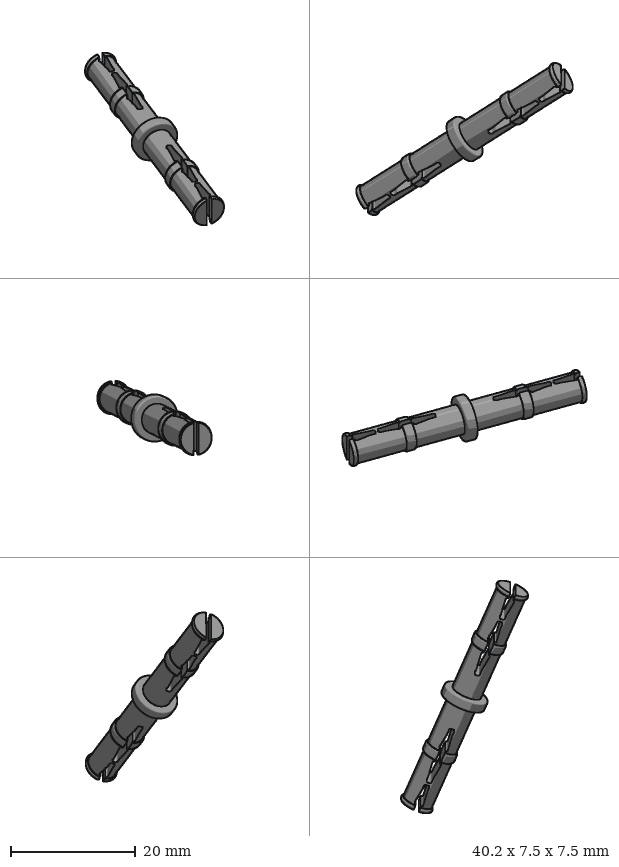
import cadquery as cq
import math

length = 40.2
half_length = length / 2
shaft_radius = 5.0 / 2
flange_radius = 7.5 / 2
flange_width = 1.8
flange_round = 0.3

band_radius = 5.5 / 2
arch_radius = 0.55
shoulder_run = 0.38
lip_width = 2 * shoulder_run
ring_width = 1.73
ring_distance = 10.0

slot_half_width = 0.9 / 2
lobe_half_width = 1.53 / 2
taper_length = 7.0
lobe_round = 0.3
tip_round = 0.32
bend_round = 2.4
pick_margin = 0.05
lip_slot_length = 0.95
ring_slot_length = 2.2
outer_lobe_length = 3.75
inner_lobe_length = 3.98


def turned_disc(radius, width):
    """Cylinder along X, centred on the origin."""
    return cq.Workplane("YZ").workplane(offset=-width / 2).circle(radius).extrude(width)


def flange():
    """Central stop flange with rounded rims."""
    return turned_disc(flange_radius, flange_width).edges().fillet(flange_round)


def arch_height(run):
    """Distance from the pin axis to an arch, at an axial distance from its crest."""
    return band_radius - arch_radius + math.sqrt(arch_radius**2 - run**2)


wall_radius = arch_height(shoulder_run)


def end_lip():
    """Arched lip at the -X end."""
    inner_end = -half_length + lip_width
    return (
        cq.Workplane("XY")
        .moveTo(-half_length, 0)
        .lineTo(-half_length, wall_radius)
        .threePointArc((-half_length + shoulder_run, band_radius), (inner_end, wall_radius))
        .lineTo(inner_end, 0)
        .close()
        .revolve(360, (0, 0, 0), (1, 0, 0))
    )


def snap_ring():
    """Snap ring of the -X half, with an arched shoulder on each side of its flat crest."""
    ring_middle = -half_length + ring_distance
    start = ring_middle - ring_width / 2
    end = ring_middle + ring_width / 2
    crest_start = start + shoulder_run
    crest_end = end - shoulder_run
    mid_run = shoulder_run / 2
    mid_radius = arch_height(mid_run)
    return (
        cq.Workplane("XY")
        .moveTo(start, 0)
        .lineTo(start, wall_radius)
        .threePointArc((crest_start - mid_run, mid_radius), (crest_start, band_radius))
        .lineTo(crest_end, band_radius)
        .threePointArc((crest_end + mid_run, mid_radius), (end, wall_radius))
        .lineTo(end, 0)
        .close()
        .revolve(360, (0, 0, 0), (1, 0, 0))
    )


def narrow_slot(start, end):
    """Parallel-sided slot through the pin along Z."""
    return cq.Workplane("XY").box(end - start, 2 * slot_half_width, 2 * flange_radius).translate(
        ((start + end) / 2, 0, 0)
    )


def lobe(wide_end, tip_end):
    """Slot through the pin along Z that tapers from its wide end to a parallel tip."""
    toward_tip = math.copysign(0.4, tip_end - wide_end)
    bend = wide_end + toward_tip * taper_length
    blank = (
        cq.Workplane("XY")
        .workplane(offset=-flange_radius)
        .moveTo(wide_end, -lobe_half_width)
        .lineTo(bend, -slot_half_width)
        .lineTo(tip_end, -slot_half_width)
        .lineTo(tip_end, slot_half_width)
        .lineTo(bend, slot_half_width)
        .lineTo(wide_end, lobe_half_width)
        .close()
        .extrude(2 * flange_radius)
    )
    wide_side, tip_side = ("<X", ">X") if toward_tip > 0 else (">X", "<X")
    rounded = blank.faces(wide_side).edges("|Z").fillet(lobe_round)
    rounded = rounded.faces(tip_side).edges("|Z").fillet(tip_round)
    bend_edges = cq.selectors.BoxSelector(
        (bend - pick_margin, -flange_radius, -flange_radius),
        (bend + pick_margin, flange_radius, flange_radius),
    )
    return rounded.edges("|Z").edges(bend_edges).fillet(bend_round)


def end_slots():
    """Slots that make the -X half springy."""
    lip_slot_end = -half_length + lip_slot_length
    ring_slot_start = -half_length + ring_distance - ring_slot_length / 2
    ring_slot_end = ring_slot_start + ring_slot_length
    return (
        narrow_slot(-half_length, lip_slot_end)
        .union(lobe(lip_slot_end, lip_slot_end + outer_lobe_length))
        .union(lobe(ring_slot_start, ring_slot_start - outer_lobe_length))
        .union(narrow_slot(ring_slot_start, ring_slot_end))
        .union(lobe(ring_slot_end, ring_slot_end + inner_lobe_length))
    )


slots = end_slots()
bands = end_lip().union(snap_ring())
shaft = turned_disc(shaft_radius, length)
body = shaft.union(flange()).union(bands).union(bands.mirror("YZ"))
result = body.cut(slots).cut(slots.mirror("YZ"))